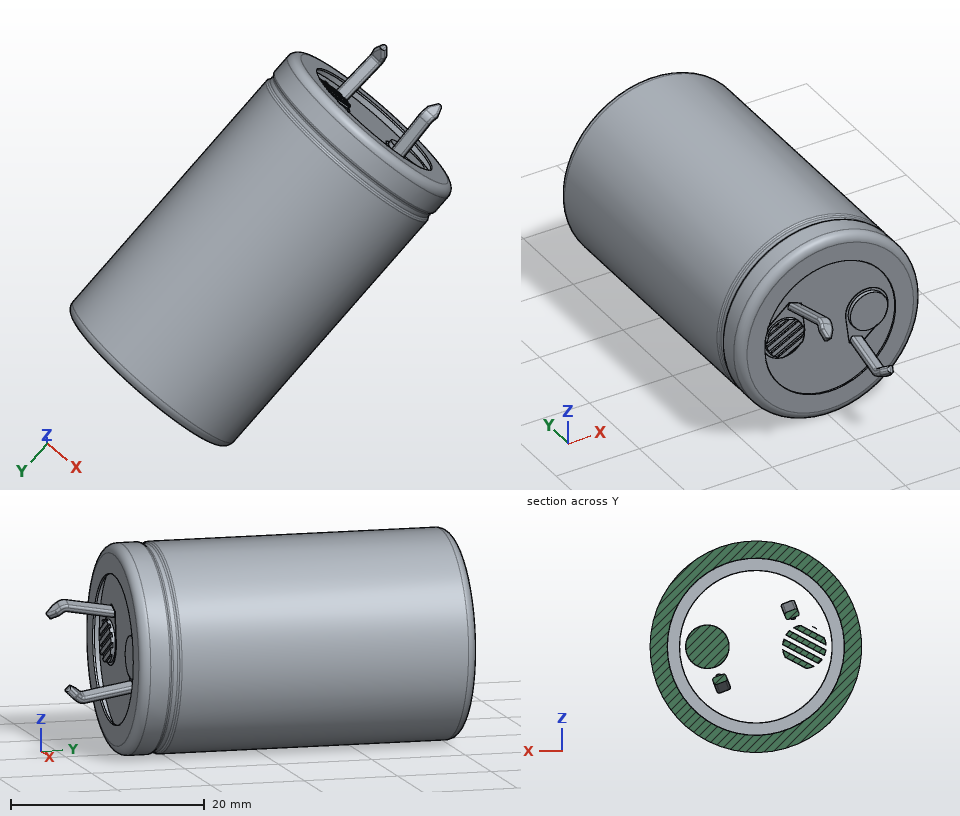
import cadquery as cq
import math


can_radius = 11.0
can_length = 36.0
can_edge_radius = 1.0

bead_depth = 0.2
bead_center = 3.7
bead_width = 1.3
bead_flank_width = 0.42

opening_diameter = 15.71
lip_thickness = 0.2
cavity_diameter = 18.23
base_depth = 1.05

pad_offset = 5.0
pad_nose_reach = 3.95
pad_plate_diameter = 5.08
pad_plate_height = 0.05
pad_nose_width = 1.5
rivet_diameter = 4.5
rivet_height = 0.45
rivet_top = base_depth - pad_plate_height - rivet_height

hatch_groove_width = 0.46
hatch_groove_depth = 0.2
hatch_pitch = 1.03
hatch_shift = 0.46
hatch_count = 6
hatch_angle = 28.0

lead_width = 1.48
lead_thickness = 0.8
lead_edge_radius = 0.25
lead_angle = 69.0
lead_root_reach = 3.72
lead_elbow_reach = 4.58
lead_elbow_height = 4.4
lead_bend_radius = 0.7
lead_tip_slope = 40.0
lead_tip_height = 6.14
lead_tip_width = 0.56
lead_taper_length = 1.0
lead_root_overlap = 0.5
lead_embed = base_depth + lead_root_overlap


def disc(diameter, start, height):
    """Disc on the Y axis that runs from Y = start toward +Y."""
    plane = cq.Workplane("XZ", origin=(0, start, 0))
    return plane.circle(diameter / 2).extrude(-height)


def make_can():
    """Revolve the can with a rounded bead and hollow its terminal end down to the base disc."""
    floor_radius = can_radius - bead_depth
    mid_radius = can_radius - bead_depth / 2
    front = bead_center - bead_width / 2
    back = bead_center + bead_width / 2
    half_flank = bead_flank_width / 2
    profile = (
        cq.Workplane("XY")
        .lineTo(can_radius, 0)
        .lineTo(can_radius, front)
        .tangentArcPoint((mid_radius, front + half_flank), relative=False)
        .tangentArcPoint((floor_radius, front + bead_flank_width), relative=False)
        .lineTo(floor_radius, back - bead_flank_width)
        .tangentArcPoint((mid_radius, back - half_flank), relative=False)
        .tangentArcPoint((can_radius, back), relative=False)
        .lineTo(can_radius, can_length)
        .lineTo(0, can_length)
        .close()
    )
    can = profile.revolve(360, (0, 0, 0), (0, 1, 0))
    can = can.faces("<Y or >Y").edges().fillet(can_edge_radius)
    opening = disc(opening_diameter, 0, lip_thickness)
    cavity = disc(cavity_diameter, lip_thickness, base_depth - lip_thickness)
    return can.cut(opening).cut(cavity)


def make_pad():
    """Pad plate and rivet head centred on the Y axis, nose toward +X."""
    plate_radius = pad_plate_diameter / 2
    nose_half = pad_nose_width / 2
    nose_distance = math.hypot(pad_nose_reach, nose_half)
    tangent_angle = math.atan2(nose_half, pad_nose_reach) + math.acos(plate_radius / nose_distance)
    tangent_x = plate_radius * math.cos(tangent_angle)
    tangent_z = plate_radius * math.sin(tangent_angle)
    plate = (
        cq.Workplane("XZ", origin=(0, base_depth, 0))
        .moveTo(tangent_x, tangent_z)
        .threePointArc((-plate_radius, 0), (tangent_x, -tangent_z))
        .lineTo(pad_nose_reach, -nose_half)
        .lineTo(pad_nose_reach, nose_half)
        .close()
        .extrude(pad_plate_height)
    )
    rivet = disc(rivet_diameter, rivet_top, rivet_height)
    return plate.union(rivet)


def make_lead():
    """Bent, edge-rounded lead whose centreline lies in the XY plane; its tip narrows."""
    slope = math.radians(lead_tip_slope)
    tip_height = lead_tip_height - lead_thickness / 2 * math.sin(slope)
    tip_reach = lead_elbow_reach - (tip_height - lead_elbow_height) * math.tan(slope)
    lean = math.atan2(lead_elbow_reach - lead_root_reach, lead_elbow_height)

    half_turn = (lean + slope) / 2
    setback = lead_bend_radius * math.tan(half_turn)
    bend_gap = lead_bend_radius * (1 / math.cos(half_turn) - 1)
    bisector = (lean - slope) / 2
    bend_start = (
        lead_elbow_reach - setback * math.sin(lean),
        -lead_elbow_height + setback * math.cos(lean),
    )
    bend_middle = (
        lead_elbow_reach - bend_gap * math.cos(bisector),
        -lead_elbow_height - bend_gap * math.sin(bisector),
    )
    bend_end = (
        lead_elbow_reach - setback * math.sin(slope),
        -lead_elbow_height - setback * math.cos(slope),
    )
    root = (lead_root_reach - lead_embed * math.tan(lean), lead_embed)
    path = (
        cq.Workplane("XY")
        .moveTo(*root)
        .lineTo(*bend_start)
        .threePointArc(bend_middle, bend_end)
        .lineTo(tip_reach, -tip_height)
    )
    root_plane = cq.Plane(
        origin=(root[0], root[1], 0),
        xDir=(0, 0, 1),
        normal=(math.sin(lean), -math.cos(lean), 0),
    )
    lead = cq.Workplane(root_plane).rect(lead_width, lead_thickness).sweep(path)

    tip_plane = cq.Plane(
        origin=(tip_reach, -tip_height, 0),
        xDir=(0, 0, 1),
        normal=(math.cos(slope), -math.sin(slope), 0),
    )
    for side in (1, -1):
        trim = (
            cq.Workplane(tip_plane)
            .moveTo(side * lead_tip_width / 2, 0)
            .lineTo(side * lead_width / 2, 0)
            .lineTo(side * lead_width / 2, -lead_taper_length)
            .close()
            .extrude(lead_thickness, both=True)
        )
        lead = lead.cut(trim)

    root_across = cq.selectors.ParallelDirSelector(root_plane.yDir)
    tip_across = cq.selectors.ParallelDirSelector(tip_plane.yDir)
    long_edges = lead.edges("not(|Z)").edges(-root_across).edges(-tip_across)
    return long_edges.fillet(lead_edge_radius)


def make_hatch():
    """Parallel groove cutters clipped to the round head of the negative rivet."""
    bars = (
        cq.Workplane("XZ", origin=(0, rivet_top, hatch_shift))
        .rarray(1, hatch_pitch, 1, hatch_count)
        .rect(rivet_diameter, hatch_groove_width)
        .extrude(-hatch_groove_depth)
        .rotate((0, 0, 0), (0, 1, 0), -hatch_angle)
    )
    head = disc(rivet_diameter, rivet_top, hatch_groove_depth)
    return bars.intersect(head).translate((-pad_offset, 0, 0))


def make_terminal():
    """Pad with its lead, turned to its angle and placed on the -X side of the base disc."""
    terminal = make_pad().union(make_lead())
    terminal = terminal.rotate((0, 0, 0), (0, 1, 0), -lead_angle)
    return terminal.translate((-pad_offset, 0, 0))


negative = make_terminal()
positive = negative.rotate((0, 0, 0), (0, 1, 0), 180)
result = make_can().union(negative).union(positive).cut(make_hatch())